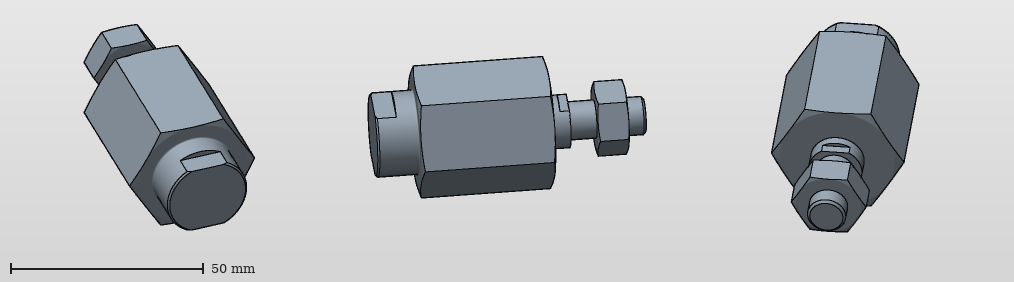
import cadquery as cq
import math

length = 71.0
tip_x = -length / 2
nut_x = tip_x + 5.0
collar_x = tip_x + 20.0
body_x = tip_x + 25.0
body_length = 35.0
boss_x = body_x + body_length
end_x = length / 2

stud_diameter = 10.0
tip_diameter = 8.65
stud_chamfer = (stud_diameter - tip_diameter) / 2
nut_across_flats = 17.0
nut_thickness = 8.0

collar_diameter = 14.0
collar_across_flats = 12.0
collar_flat_length = 2.5

body_across_flats = 30.0

boss_diameter = 22.0
boss_chamfer = 0.5
root_fillet = 0.4
boss_across_flats = 19.0
boss_flat_length = 5.5

half_corner_angle = math.radians(30)
cone_angle = math.radians(15)


def cylinder(start, diameter, depth):
    return cq.Workplane("YZ", origin=(start, 0, 0)).circle(diameter / 2).extrude(depth)


def chamfered_hexagon(start, across_flats, thickness):
    """Hexagon with flats on top and bottom and corners coned off on both ends."""
    corner_radius = across_flats / 2 / math.cos(half_corner_angle)
    hexagon = (
        cq.Workplane("YZ", origin=(start, 0, 0))
        .polygon(6, 2 * corner_radius)
        .extrude(thickness)
    )
    cone_length = (corner_radius - across_flats / 2) * math.tan(cone_angle)
    finish = start + thickness
    envelope = (
        cq.Workplane("XY")
        .moveTo(start, 0)
        .lineTo(start, across_flats / 2)
        .lineTo(start + cone_length, corner_radius)
        .lineTo(finish - cone_length, corner_radius)
        .lineTo(finish, across_flats / 2)
        .lineTo(finish, 0)
        .close()
        .revolve(360, (0, 0, 0), (1, 0, 0))
    )
    return hexagon.intersect(envelope)


def with_flats(solid, start, flat_length, diameter, across_flats):
    """Mill two parallel flats, facing up and down, over a stretch of a round."""
    block = cq.Workplane("XY").box(flat_length, diameter, diameter)
    kept = cq.Workplane("XY").box(flat_length, diameter, across_flats)
    return solid.cut(block.cut(kept).translate((start + flat_length / 2, 0, 0)))


stud = cylinder(tip_x, stud_diameter, body_x - tip_x).faces("<X").chamfer(stud_chamfer)
nut = chamfered_hexagon(nut_x, nut_across_flats, nut_thickness)

collar = cylinder(collar_x, collar_diameter, body_x - collar_x)
collar = with_flats(collar, collar_x, collar_flat_length, collar_diameter, collar_across_flats)

body = chamfered_hexagon(body_x, body_across_flats, body_length)

boss = cylinder(boss_x, boss_diameter, end_x - boss_x).faces(">X").chamfer(boss_chamfer)
boss = with_flats(boss, end_x - boss_flat_length, boss_flat_length, boss_diameter, boss_across_flats)

boss_radius = boss_diameter / 2
root = (
    cq.Workplane("XY")
    .moveTo(boss_x, 0)
    .lineTo(boss_x, boss_radius + root_fillet)
    .radiusArc((boss_x + root_fillet, boss_radius), -root_fillet)
    .lineTo(boss_x + root_fillet, 0)
    .close()
    .revolve(360, (0, 0, 0), (1, 0, 0))
)

result = stud.union(nut).union(collar).union(body).union(root).union(boss)